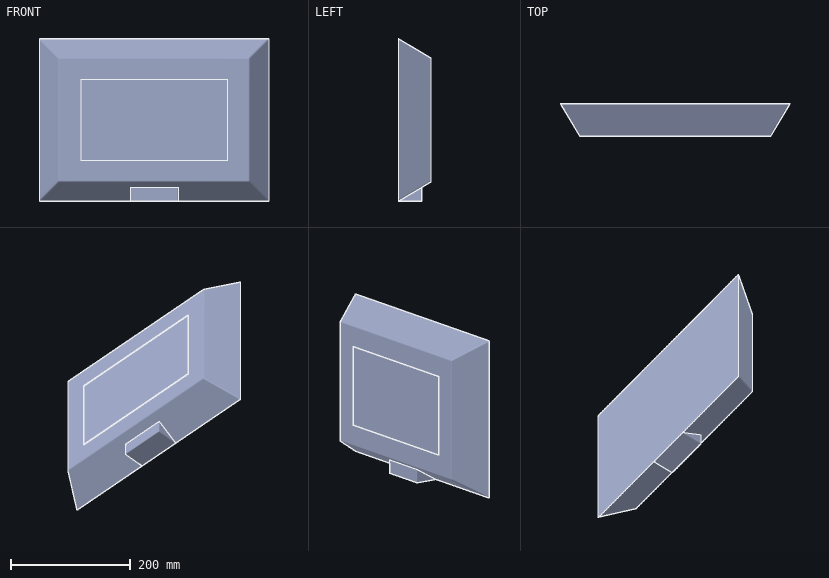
import cadquery as cq
import math

width = 383.5
height = 271.5
depth = 55.0
front_inset = 32.5
housing_fillet = 3.0

screen_width = 244.0
screen_height = 135.5
screen_recess = 1.0

block_width = 79.5
block_depth = 39.5
block_height = 30.5
block_fillet = 1.0
block_offset = 0.5


def make_housing():
    """Frustum with rounded front and corner edges and a sharp back rim."""
    side_slope = math.degrees(math.atan2(front_inset, depth))
    body = (
        cq.Workplane("XZ")
        .rect(width, height)
        .extrude(depth, taper=side_slope)
    )
    return body.edges("not >Y").fillet(housing_fillet)


def make_block():
    """Connector block with rounded front, side and bottom edges."""
    block = (
        cq.Workplane("XY")
        .box(block_width, block_depth, block_height, centered=(True, False, False))
        .translate((block_offset, -block_depth, -height / 2))
    )
    return block.edges("(<Y and (not >Z)) or (<Z and (not >Y))").fillet(block_fillet)


def make_screen_cutter():
    """Slab that sinks the screen area below the front face."""
    return (
        cq.Workplane("XZ", origin=(0, screen_recess - depth, 0))
        .rect(screen_width, screen_height)
        .extrude(screen_recess)
    )


housing = make_housing()
block = make_block()
result = housing.union(block).cut(make_screen_cutter())